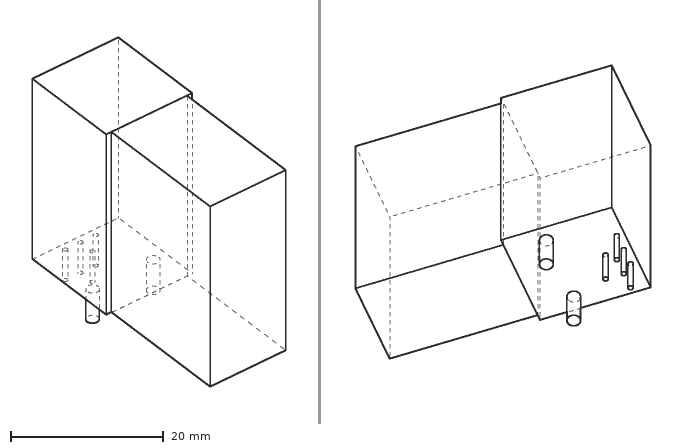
import cadquery as cq

total_length = 36.2
housing_height = 29.55
front_length = 15.5
front_width = 14.4
rear_length = total_length - front_length
rear_width = 12.67

pin_length = 5.0
pin_pitch = 2.55
thin_diameter = 0.7
thick_diameter = 1.8
first_row_x = 1.05
second_row_x = first_row_x + pin_pitch
thick_row_x = 9.95

thin_positions = [
    (first_row_x, -pin_pitch),
    (first_row_x, 0),
    (first_row_x, pin_pitch),
    (second_row_x, 0),
]
thick_positions = [(thick_row_x, side * 2 * pin_pitch) for side in (-1, 1)]


def block(start_x, length, width):
    """Plain block standing on Z = 0, with its -X face at start_x."""
    return (
        cq.Workplane("XY")
        .box(length, width, housing_height, centered=(False, True, False))
        .translate((start_x, 0, 0))
    )


def pin(position, diameter):
    """Round pin reaching down from the underside of the front block."""
    return cq.Workplane("XY").center(*position).circle(diameter / 2).extrude(-pin_length)


front_block = block(0, front_length, front_width)
rear_block = block(front_length, rear_length, rear_width)
thin_pins = [pin(position, thin_diameter).val() for position in thin_positions]
thick_pins = [pin(position, thick_diameter).val() for position in thick_positions]

result = cq.Compound.makeCompound([front_block.val(), rear_block.val(), *thin_pins, *thick_pins])